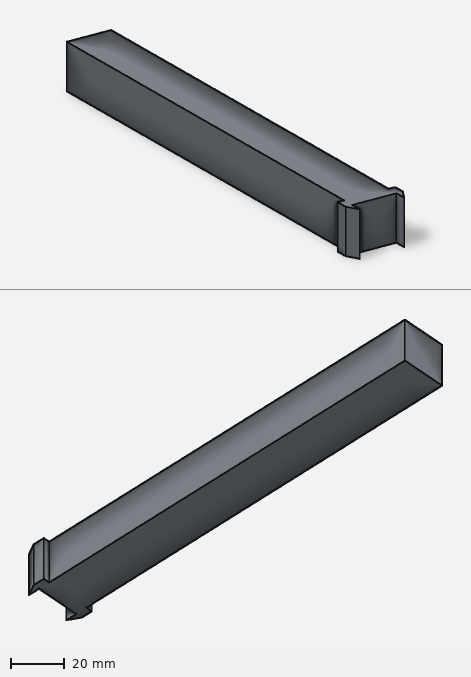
import cadquery as cq

length = 195.0
head_width = 26.0
height = 20.0

bar_width = height
head_length = 10.5
prong_length = 5.3
prong_gap = bar_width

head_start = length - head_length
prong_start = length - prong_length

half_outline = [
    (0, bar_width / 2),
    (head_start, bar_width / 2),
    (head_start, head_width / 2),
    (prong_start, head_width / 2),
    (length, prong_gap / 2),
    (prong_start, prong_gap / 2),
]
mirrored_outline = [(x, -y) for x, y in reversed(half_outline)]

result = (
    cq.Workplane("XY")
    .polyline(half_outline + mirrored_outline)
    .close()
    .extrude(height)
    .translate((-length / 2, 0, -height / 2))
)